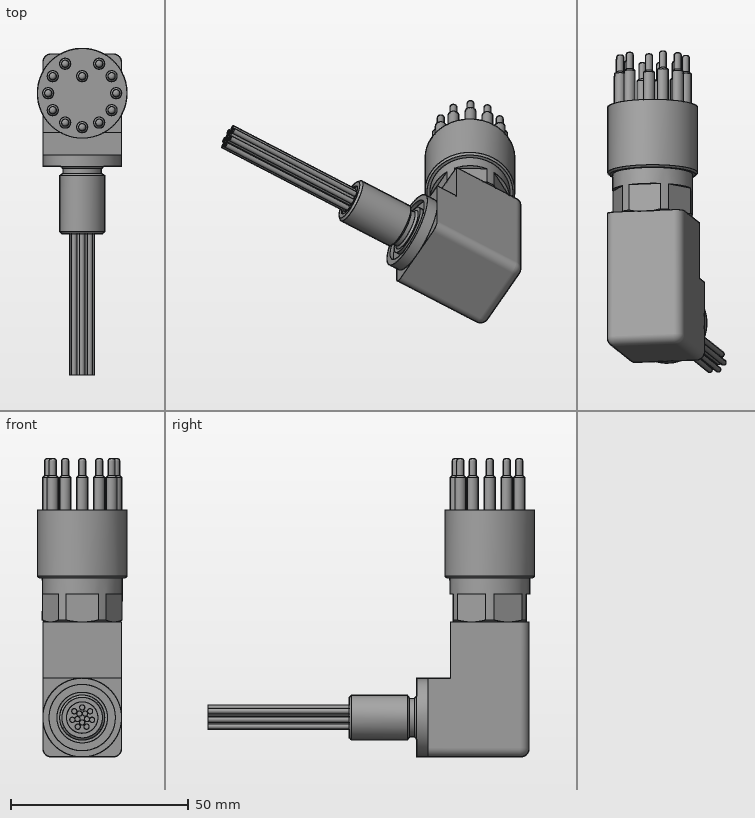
import cadquery as cq
import math


overall_length = 92.2

body_width = 22.2
body_top = 38.1
foot_height = body_width
foot_front = -17.4
body_round = 2.4

cable_z = body_width / 2
flange_front = -20.7
flange_groove_diameter = 18.7
flange_boss_diameter = 14.3
flange_groove_depth = 1.1

neck_diameter = 10.9
neck_start = -21.3
neck_end = -22.6
bush_diameter = 12.7
bush_start = -23.2
bush_end = -39.7
bush_chamfer = 0.6
neck_flare_diameter = 12.2
bush_recess_diameter = 8.9
bush_recess_depth = 0.5

wire_diameter = 1.5
wire_embed = 0.9
outer_wire_count = 7
outer_wire_radius = 2.9
inner_wire_count = 5
inner_wire_radius = 1.4

collar_diameter = 22.6
hex_across_flats = 20.7
hex_top = 45.9
hex_turn = 30
hex_bevel_height = 0.55
head_diameter = 25.4
head_bottom = 50.5
head_top = 69.7
head_chamfer = 0.55

wire_end = head_diameter / 2 - overall_length

sleeve_diameter = 3.1
sleeve_top = 78.9
pin_diameter = 2.0
sleeve_cone_height = 0.55
pin_top = 84.2
pin_tip_round = 0.7
pin_pitch_radius = 9.6
pin_positions = 12
pin_step = 360 / pin_positions


def polar(radius, angle):
    """Point at an angle in degrees, measured clockwise from the second axis of the plane."""
    return (radius * math.sin(math.radians(angle)), radius * math.cos(math.radians(angle)))


def along_cable(y_position):
    """Sketch plane facing -Y, centred on the cable axis; its axes point along +X and +Z."""
    return cq.Workplane("XZ", origin=(0, y_position, cable_z))


def make_housing():
    half = body_width / 2
    outline = [
        (half, 0),
        (half, body_top),
        (-half, body_top),
        (-half, foot_height),
        (foot_front, foot_height),
        (foot_front, 0),
    ]
    housing = cq.Workplane("YZ").polyline(outline).close().extrude(half, both=True)
    housing = housing.edges("(|Z and >Y) or (|Y and <Z) or (|X and <Z and >Y)").fillet(body_round)
    flange_length = foot_front - flange_front
    flange = along_cable(foot_front).circle(body_width / 2).extrude(flange_length)
    groove = (
        along_cable(flange_front)
        .circle(flange_groove_diameter / 2)
        .circle(flange_boss_diameter / 2)
        .extrude(-flange_groove_depth)
    )
    return housing.union(flange).cut(groove)


def make_bush():
    bush_radius = bush_diameter / 2
    neck_radius = neck_diameter / 2
    profile = [
        (0, foot_front),
        (neck_flare_diameter / 2, foot_front),
        (neck_flare_diameter / 2, flange_front),
        (neck_radius, neck_start),
        (neck_radius, neck_end),
        (bush_radius, bush_start),
        (bush_radius, bush_end + bush_chamfer),
        (bush_radius - bush_chamfer, bush_end),
        (0, bush_end),
    ]
    bush = cq.Workplane("XY").polyline(profile).close().revolve(360, (0, 0), (0, 1))
    bush = bush.translate((0, 0, cable_z))
    recess = along_cable(bush_end).circle(bush_recess_diameter / 2).extrude(-bush_recess_depth)
    return bush.cut(recess)


def make_wires():
    outer = [polar(outer_wire_radius, i * 360 / outer_wire_count) for i in range(outer_wire_count)]
    inner = [polar(inner_wire_radius, 180 + i * 360 / inner_wire_count) for i in range(inner_wire_count)]
    wire_start = bush_end + bush_recess_depth + wire_embed
    return (
        along_cable(wire_start)
        .pushPoints(outer + inner)
        .circle(wire_diameter / 2)
        .extrude(wire_start - wire_end)
    )


def make_coupling():
    hexagon = (
        cq.Workplane("XY", origin=(0, 0, body_top))
        .transformed(rotate=(0, 0, hex_turn))
        .polygon(6, hex_across_flats, circumscribed=True)
        .extrude(head_bottom - body_top)
    )
    bevel_width = (collar_diameter - hex_across_flats) / 2
    round_blank = (
        cq.Workplane("XY", origin=(0, 0, body_top))
        .circle(collar_diameter / 2)
        .extrude(hex_top - body_top)
        .faces("<Z")
        .chamfer(hex_bevel_height, bevel_width)
    )
    collar = (
        cq.Workplane("XY", origin=(0, 0, hex_top))
        .circle(collar_diameter / 2)
        .extrude(head_bottom - hex_top)
    )
    head = (
        cq.Workplane("XY", origin=(0, 0, head_bottom))
        .circle(head_diameter / 2)
        .extrude(head_top - head_bottom)
        .faces("<Z")
        .chamfer(head_chamfer)
    )
    return round_blank.intersect(hexagon).union(collar).union(head)


def make_pin():
    sleeve_radius = sleeve_diameter / 2
    pin_radius = pin_diameter / 2
    profile = [
        (0, head_top),
        (sleeve_radius, head_top),
        (sleeve_radius, sleeve_top),
        (pin_radius, sleeve_top + sleeve_cone_height),
        (pin_radius, pin_top),
        (0, pin_top),
    ]
    pin = cq.Workplane("XZ").polyline(profile).close().revolve(360, (0, 0), (0, 1))
    return pin.faces(">Z").edges().fillet(pin_tip_round)


result = make_housing().union(make_bush()).union(make_wires()).union(make_coupling())

for index in range(pin_positions):
    radius = pin_pitch_radius / 2 if index == 0 else pin_pitch_radius
    x, y = polar(radius, index * pin_step)
    result = result.union(make_pin().translate((x, y, 0)))